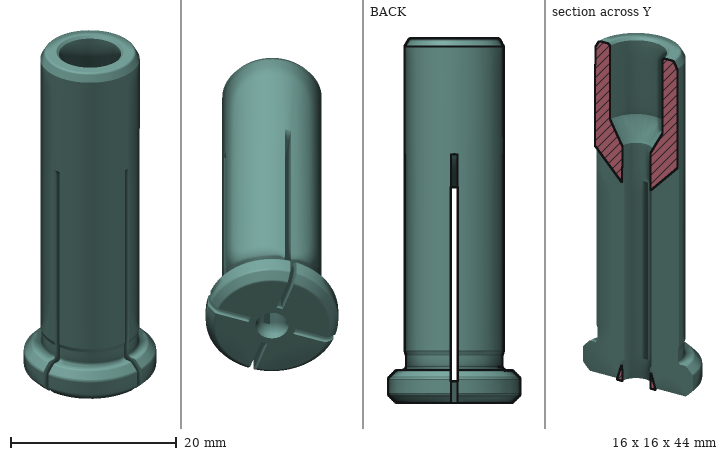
import cadquery as cq
import math

total_height = 44.0
head_height = 4.0

head_diameter = 16.0
body_diameter = 12.0
neck_diameter = 11.7

head_chamfer = 1.0
corner_radius = 0.4

neck_fillet = 0.4
neck_taper_bottom = 5.8
neck_taper_top = 6.3

nose_height = 1.0
nose_half_angle = 30.0

pilot_diameter = 4.0
bore_diameter = 7.5
bore_depth = 10.0
bore_cone_half_angle = 30.0
bore_rim_chamfer = 0.3

slot_count = 4
slot_width = 0.8
slot_top = 30.0
slot_floor_height = 2.65
slot_floor_angle = 72.0

head_radius = head_diameter / 2
body_radius = body_diameter / 2
neck_radius = neck_diameter / 2
pilot_radius = pilot_diameter / 2
bore_radius = bore_diameter / 2


def tan_deg(angle):
    return math.tan(math.radians(angle))


def revolve_profile(profile):
    """Revolve a closed (radius, height) profile about the Z axis."""
    return profile.close().revolve(360, (0, 0, 0), (0, 1, 0))


def make_head():
    """Collar with chamfered and softened edges."""
    head = cq.Workplane("XY").circle(head_radius).extrude(head_height)
    head = head.faces("<Z or >Z").edges().chamfer(head_chamfer)
    return head.edges("%CIRCLE").fillet(corner_radius)


def make_shank():
    """Neck, body and tapered nose, starting inside the head."""
    nose_radius = body_radius - nose_height * tan_deg(nose_half_angle)
    fillet_top = head_height + neck_fillet
    profile = (
        cq.Workplane("XZ")
        .lineTo(neck_radius + neck_fillet, 0)
        .lineTo(neck_radius + neck_fillet, head_height)
        .radiusArc((neck_radius, fillet_top), neck_fillet)
        .lineTo(neck_radius, neck_taper_bottom)
        .lineTo(body_radius, neck_taper_top)
        .lineTo(body_radius, total_height - nose_height)
        .lineTo(nose_radius, total_height)
        .lineTo(0, total_height)
    )
    shank = revolve_profile(profile)
    return shank.faces(">Z").edges().fillet(corner_radius)


def make_bore():
    """Through pilot hole opening by a cone into the wider upper bore."""
    cone_top = total_height - bore_depth
    cone_height = (bore_radius - pilot_radius) / tan_deg(bore_cone_half_angle)
    profile = (
        cq.Workplane("XZ")
        .lineTo(pilot_radius, 0)
        .lineTo(pilot_radius, cone_top - cone_height)
        .lineTo(bore_radius, cone_top)
        .lineTo(bore_radius, total_height - bore_rim_chamfer)
        .lineTo(bore_radius + bore_rim_chamfer, total_height)
        .lineTo(0, total_height)
    )
    return revolve_profile(profile)


def make_slot():
    """One slot on the +X side: steep floor through the head, 45 degree end above."""
    floor_outer = pilot_radius + slot_floor_height / tan_deg(slot_floor_angle)
    inner_top = slot_top - (body_radius - pilot_radius)
    rim_top = slot_top + (head_radius - body_radius)
    return (
        cq.Workplane("XZ")
        .moveTo(0, slot_floor_height)
        .lineTo(pilot_radius, slot_floor_height)
        .lineTo(floor_outer, 0)
        .lineTo(head_radius, 0)
        .lineTo(head_radius, rim_top)
        .lineTo(pilot_radius, inner_top)
        .lineTo(0, inner_top)
        .close()
        .extrude(slot_width / 2, both=True)
    )


result = make_head().union(make_shank()).cut(make_bore())

for index in range(slot_count):
    angle = index * 360 / slot_count
    result = result.cut(make_slot().rotate((0, 0, 0), (0, 0, 1), angle))